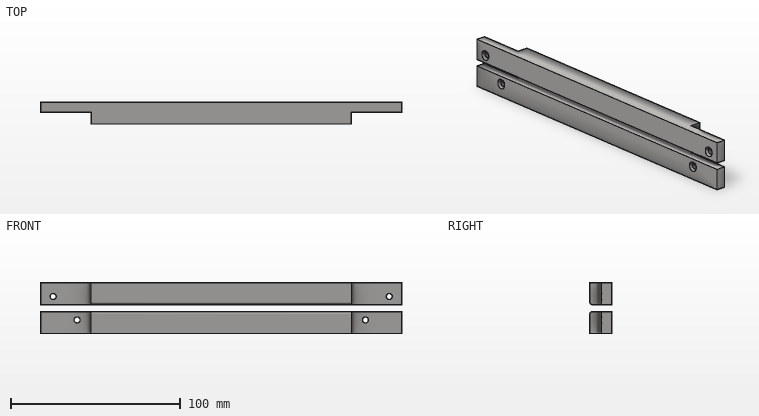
import cadquery as cq

length = 213.2
depth = 13.0
bar_height = 13.0
total_height = 30.0
gap = total_height - 2 * bar_height

tab_length = 29.9
tab_thickness = 6.0
body_length = length - 2 * tab_length

hole_diameter = 3.5
sink_diameter = 6.0
sink_angle = 90.0
hole_edge_distance = 5.0
upper_hole_end_distance = 7.5
lower_hole_end_distance = 21.5

edge_radius = 1.5


def bar_blank():
    """Stepped bar with its back on y = 0 and its gap-facing side on z = 0."""
    tabs = cq.Workplane("XY").box(length, tab_thickness, bar_height, centered=(True, False, False))
    body = cq.Workplane("XY").box(body_length, depth, bar_height, centered=(True, False, False))
    body = body.edges(">Y and <Z").fillet(edge_radius)
    return tabs.union(body).rotate((0, 0, 0), (0, 0, 1), 180)


def drill_tabs(bar, end_distance):
    """Screw hole through each tab, countersunk from the flat back."""
    hole_x = length / 2 - end_distance
    back = cq.Workplane("XZ").transformed(rotate=(0, 180, 0))
    drilled = back.newObject([bar.val()])
    drilled = drilled.pushPoints([(-hole_x, hole_edge_distance), (hole_x, hole_edge_distance)])
    return drilled.cskHole(hole_diameter, sink_diameter, sink_angle)


def make_bar(end_distance):
    return drill_tabs(bar_blank(), end_distance)


upper_bar = make_bar(upper_hole_end_distance).translate((0, 0, gap / 2))
lower_bar = make_bar(lower_hole_end_distance).mirror("XY").translate((0, 0, -gap / 2))

result = cq.Compound.makeCompound([upper_bar.val(), lower_bar.val()])